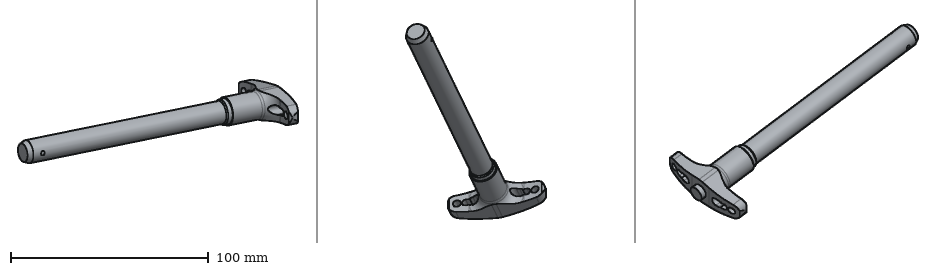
import cadquery as cq
import math


pin_length = 153.7
handle_span = 51.5
handle_height = 15.8

shank_radius = 6.0
tip_radius = 4.8
tip_length = 2.8
ball_radius = 1.5
ball_reach = 6.5
ball_y = 8.3

barrel_start_y = 116.6
barrel_chamfer = 0.8
nose_end_y = 119.9
nose_start_radius = 6.6
nose_end_radius = 6.8
barrel_radius = 7.4
collar_radius = 7.7
collar_y = 138.3
collar_length = 1.4
flare_height = 5.0
flare_end_radius = 14.5
flare_overlap = 2.3

button_radius = 4.0
button_height = 3.0

handle_top_y = pin_length - button_height
handle_bottom_y = collar_y + flare_height
crown_half_width = 6.1
crown_drop = 3.0
end_radius = 5.2
ridge_half_width = 1.2
wing_end_bottom_y = 142.3
wing_end_round = 1.4
wing_end_widest_y = 144.3
wing_end_slope = 0.6

eye_x = 20.6
eye_radius = 2.0
slot_outer_x = 18.0
slot_inner_x = 8.3
slot_narrow_radius = 1.8
slot_wide_radius = 2.5
slot_wide_length = 6.5

half_span = handle_span / 2
half_height = handle_height / 2
end_center_x = half_span - end_radius


def mirrored_x(body):
    return body.union(body.mirror("YZ"))


def plane_facing_tip(y):
    """XZ workplane at the given Y; extrusions from it run towards -Y."""
    return cq.Workplane("XZ", origin=(0, y, 0))


def make_pin():
    """Shank, barrel, flare and handle core as one turned profile."""
    flare_width = flare_end_radius - collar_radius
    flare_radius = (flare_width**2 + flare_height**2) / (2 * flare_height)
    half_sweep = math.atan2(flare_height, flare_width)
    flare_middle = (
        flare_end_radius - flare_radius * math.sin(half_sweep),
        handle_bottom_y - flare_radius * (1 - math.cos(half_sweep)),
    )
    return (
        cq.Workplane("XY")
        .moveTo(0, 0)
        .lineTo(tip_radius, 0)
        .lineTo(shank_radius, tip_length)
        .lineTo(shank_radius, barrel_start_y)
        .lineTo(nose_start_radius, barrel_start_y + barrel_chamfer)
        .lineTo(nose_end_radius, nose_end_y)
        .lineTo(barrel_radius, nose_end_y)
        .lineTo(barrel_radius, collar_y - collar_length)
        .lineTo(collar_radius, collar_y)
        .threePointArc(flare_middle, (flare_end_radius, handle_bottom_y))
        .lineTo(flare_end_radius, handle_bottom_y + flare_overlap)
        .lineTo(0, handle_bottom_y + flare_overlap)
        .close()
        .revolve(360, (0, 0, 0), (0, 1, 0))
    )


def handle_outline():
    """Tapered handle shape seen along the pin, with rounded ends."""
    run = end_center_x - ridge_half_width
    angle = math.atan2(half_height, run) + math.acos(end_radius / math.hypot(run, half_height))
    tangent_angle = math.pi - angle
    tangent_x = end_center_x + end_radius * math.cos(tangent_angle)
    tangent_z = end_radius * math.sin(tangent_angle)
    return (
        plane_facing_tip(pin_length)
        .moveTo(-ridge_half_width, half_height)
        .lineTo(ridge_half_width, half_height)
        .lineTo(tangent_x, tangent_z)
        .threePointArc((half_span, 0), (tangent_x, -tangent_z))
        .lineTo(ridge_half_width, -half_height)
        .lineTo(-ridge_half_width, -half_height)
        .lineTo(-tangent_x, -tangent_z)
        .threePointArc((-half_span, 0), (-tangent_x, tangent_z))
        .close()
        .extrude(pin_length - barrel_start_y)
    )


def handle_profile():
    """Crowned handle shape in the XY plane, thick enough to cover the outline."""
    underside_run = half_span - wing_end_round - flare_end_radius
    underside_drop = handle_bottom_y - wing_end_bottom_y
    underside_radius = (underside_run**2 + underside_drop**2) / (2 * underside_drop)
    half_sweep = math.atan2(underside_drop, underside_run)
    underside_middle = (
        flare_end_radius + underside_radius * math.sin(half_sweep),
        handle_bottom_y - underside_radius * (1 - math.cos(half_sweep)),
    )
    half = (
        cq.Workplane("XY", origin=(0, 0, -half_height))
        .moveTo(0, handle_top_y)
        .lineTo(crown_half_width, handle_top_y)
        .tangentArcPoint((half_span - wing_end_slope, handle_top_y - crown_drop), relative=False)
        .lineTo(half_span, wing_end_widest_y)
        .tangentArcPoint((half_span - wing_end_round, wing_end_bottom_y), relative=False)
        .threePointArc(underside_middle, (flare_end_radius, handle_bottom_y))
        .lineTo(0, handle_bottom_y)
        .close()
        .extrude(handle_height)
    )
    return mirrored_x(half)


def handle_openings():
    """Round eye and stepped slot through each wing."""
    depth = pin_length - collar_y
    plane = plane_facing_tip(pin_length)
    eye = plane.center(eye_x, 0).circle(eye_radius).extrude(depth)
    slot_length = slot_outer_x - slot_inner_x
    narrow = (
        plane.center((slot_outer_x + slot_inner_x) / 2, 0)
        .slot2D(slot_length, 2 * slot_narrow_radius)
        .extrude(depth)
    )
    wide = (
        plane.center(slot_inner_x + slot_wide_length / 2, 0)
        .slot2D(slot_wide_length, 2 * slot_wide_radius)
        .extrude(depth)
    )
    return mirrored_x(eye.union(narrow).union(wide))


def make_button():
    return plane_facing_tip(pin_length).circle(button_radius).extrude(button_height)


def make_balls():
    ball_x = ball_reach - ball_radius
    return mirrored_x(cq.Workplane("XY").sphere(ball_radius).translate((ball_x, ball_y, 0)))


outline = handle_outline()
pin = make_pin()
handle = handle_profile().union(pin).intersect(outline).cut(handle_openings())
below_collar = plane_facing_tip(collar_y).circle(half_span).extrude(collar_y)
shank = pin.intersect(below_collar)

result = shank.union(handle).union(make_button()).union(make_balls())